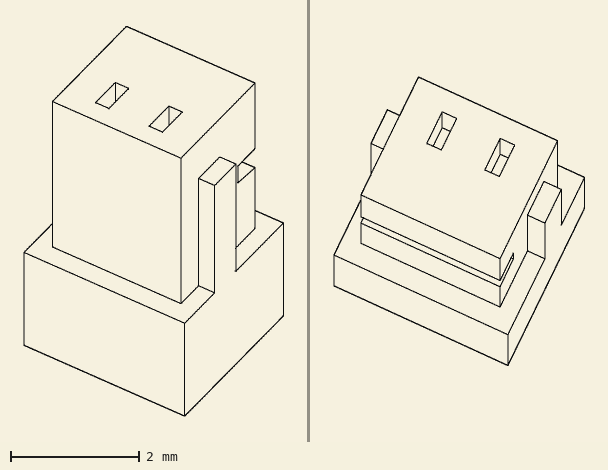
import cadquery as cq

base_width = 3
base_depth = 2.8
base_height = 1.95

total_height = 5
housing_width = 2.4
housing_depth = 2.1
housing_back = housing_depth / 2

rib_depth = 0.6
rib_top = 4.2
rib_center_y = -0.25

slot_width = 0.25
slot_length = 0.56
slot_pitch = 1
slot_center_y = -0.42
slot_depth = 1

notch_depth = 0.485
notch_top = 3.62
notch_inner_floor = 3.27
notch_outer_floor = 3.225


def upright_block(width, depth, bottom, top):
    """Box centred on X and Y, standing between two heights."""
    return (
        cq.Workplane("XY", origin=(0, 0, bottom))
        .rect(width, depth)
        .extrude(top - bottom)
    )


def latch_notch():
    inner_y = housing_back - notch_depth
    profile = [
        (housing_back, notch_top),
        (inner_y, notch_top),
        (inner_y, notch_inner_floor),
        (housing_back, notch_outer_floor),
    ]
    return cq.Workplane("YZ").polyline(profile).close().extrude(housing_width / 2, both=True)


def contact_slots():
    return (
        cq.Workplane("XY", origin=(0, slot_center_y, total_height - slot_depth))
        .rarray(slot_pitch, 0.05, 2, 1)
        .rect(slot_width, slot_length)
        .extrude(slot_depth)
    )


base = upright_block(base_width, base_depth, 0, base_height)
housing = upright_block(housing_width, housing_depth, base_height, total_height)
housing = housing.cut(latch_notch()).cut(contact_slots())

rib_thickness = (base_width - housing_width) / 2
rib_center_x = (housing_width + rib_thickness) / 2
ribs = (
    cq.Workplane("XY", origin=(0, rib_center_y, base_height))
    .pushPoints([(-rib_center_x, 0), (rib_center_x, 0)])
    .rect(rib_thickness, rib_depth)
    .extrude(rib_top - base_height)
)

result = base.union(housing).union(ribs)